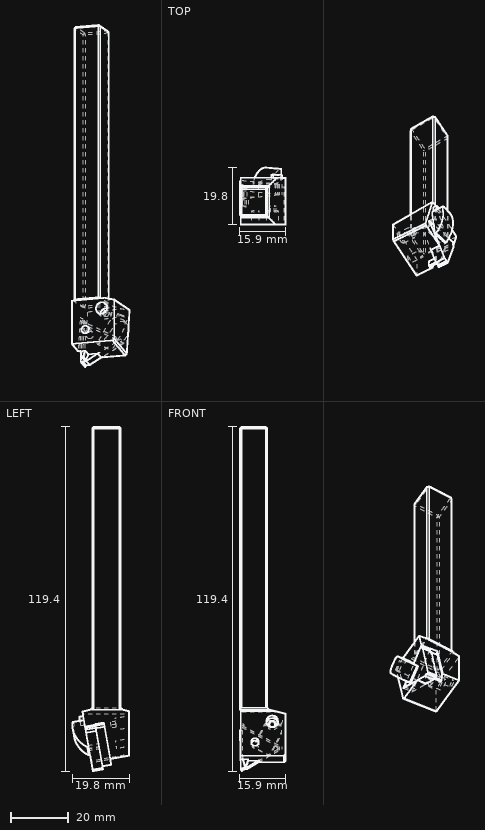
import cadquery as cq
import math


TOTAL_HEIGHT = 119.3
SHANK_X = 9.5
SHANK_Y = 10.0
SHANK_FRONT = 2.9
SHANK_CHAMFER = 0.6
FLARE_SIZE = 0.6
FLARE_ANGLE = 45

HEAD_LEFT = 0.3
HEAD_RIGHT = 15.9
HEAD_TOP = 21.3
ROOF_ANGLE = 14
ROOF_MARGIN = 0.6
FRONT_BOTTOM = 5.4
BOTTOM_CHAMFER = 0.6

TILT = 10
SEAT_Y = 14.0
SEAT_Z = 7.6

INSCRIBED_RADIUS = 4.8
INSERT_THICKNESS = 3.6
TIP_CUT = 1.2
TOOTH_WIDTH = 0.8
TOOTH_HEIGHT = 0.57
INSERT_TURN = 1.4
THIRDS = (0, 120, 240)

SHIM_THICKNESS = 3.1
SHIM_INSET = 0.5
SHIM_TOP_CUT = 1.5
SHIM_NOSE_START = -3.3
SHIM_NOSE_END = -6.7
SHIM_NOSE_LEFT = 1.7
SHIM_NOSE_RIGHT = 2.3
SHIM_NOSE_ROOT = 3.0

SCREW_X = 11.2
SCREW_RISE = 7.0
FINGER_ANGLE = 63
FINGER_RADIUS = 3.2
FINGER_LENGTH = 8.6
FINGER_REAR_HEIGHT = 3.7
FINGER_CREST = (2.4, 4.2)
FINGER_TOE_HEIGHT = 0.5
HEEL_LENGTH = 4.3
HEEL_WIDTH = 3.6
HEEL_HEIGHT = 1.4

CLAMP_HOLE_RADIUS = 2.0
SHIM_HOLE_RADIUS = 1.3
CLAMP_HOLE_DEPTH = 4.8
SOCKET_DIAMETER = 2.4
SOCKET_DEPTH = 1.8
SHIM_HOLE_X = 5.2
SHIM_HOLE_DEPTH = 4.8

SIN_TILT = math.sin(math.radians(TILT))
COS_TILT = math.cos(math.radians(TILT))
TAN_TILT = SIN_TILT / COS_TILT
TAN_ROOF = math.tan(math.radians(ROOF_ANGLE))

HALF_SIDE = INSCRIBED_RADIUS * math.sqrt(3)
TURN = math.radians(INSERT_TURN)
INSERT_X = INSCRIBED_RADIUS * math.cos(TURN) + (HALF_SIDE - 2 * TIP_CUT) * math.sin(TURN)
SHANK_BACK = SHANK_FRONT + SHANK_Y

SEAT = cq.Plane(
    origin=(INSERT_X, SEAT_Y, SEAT_Z),
    xDir=(1, 0, 0),
    normal=(0, -COS_TILT, SIN_TILT),
)


def turned(point, angle):
    """Rotate a local point about the insert centre."""
    c = math.cos(math.radians(angle))
    s = math.sin(math.radians(angle))
    return (point[0] * c - point[1] * s, point[0] * s + point[1] * c)


def make_shank():
    """Square bar with chamfered long edges and top."""
    foot = cq.Workplane("XY", origin=(SHANK_X / 2, SHANK_FRONT + SHANK_Y / 2, HEAD_TOP))
    shank = foot.rect(SHANK_X, SHANK_Y).extrude(TOTAL_HEIGHT - HEAD_TOP)
    return shank.edges("|Z or >Z").chamfer(SHANK_CHAMFER)


def make_head():
    """Side profile and front profile, extruded across each other and intersected."""
    roof_front = SHANK_FRONT - ROOF_MARGIN
    roof_back = SHANK_BACK + ROOF_MARGIN
    roof_right = SHANK_X + ROOF_MARGIN

    back_run = SEAT_Y + (HEAD_TOP - SEAT_Z) * TAN_TILT - roof_back
    back_run = back_run / (1 + TAN_ROOF * TAN_TILT)
    bottom_back_y = (SEAT_Y + (FRONT_BOTTOM - SEAT_Z) * TAN_TILT) * COS_TILT**2
    side = [
        (0, FRONT_BOTTOM),
        (0, HEAD_TOP - roof_front * TAN_ROOF),
        (roof_front, HEAD_TOP),
        (roof_back, HEAD_TOP),
        (roof_back + back_run, HEAD_TOP - back_run * TAN_ROOF),
        (bottom_back_y, FRONT_BOTTOM - bottom_back_y * TAN_TILT),
    ]
    front = [
        (HEAD_LEFT, 0),
        (HEAD_LEFT, HEAD_TOP),
        (roof_right, HEAD_TOP),
        (HEAD_RIGHT, HEAD_TOP - (HEAD_RIGHT - roof_right) * TAN_ROOF),
        (HEAD_RIGHT, 0),
    ]
    head = cq.Workplane("YZ").polyline(side).close().extrude(HEAD_RIGHT)
    head = head.faces("<Z").edges(">X").chamfer(BOTTOM_CHAMFER)
    across = cq.Workplane("XZ").polyline(front).close().extrude(-roof_back - back_run)
    return head.intersect(across)


def make_flare():
    """Sloping collar along the front, right and back of the shank where it meets the head."""
    foot = cq.Workplane("XY", origin=(SHANK_X / 2, SHANK_FRONT + SHANK_Y / 2, HEAD_TOP))
    foot = foot.rect(SHANK_X + 2 * FLARE_SIZE, SHANK_Y + 2 * FLARE_SIZE)
    flare = foot.extrude(FLARE_SIZE, taper=FLARE_ANGLE)
    over_head = cq.Workplane("XY", origin=(HEAD_LEFT, 0, HEAD_TOP))
    return flare.intersect(over_head.box(HEAD_RIGHT, HEAD_RIGHT, FLARE_SIZE, centered=False))


def make_triangle_cut(turn, start, depth):
    """Three-cornered recess between two depths below the back face."""
    corner = (-INSCRIBED_RADIUS, -HALF_SIDE)
    corners = [turned(corner, turn + third) for third in THIRDS]
    return cq.Workplane(SEAT).workplane(offset=start).polyline(corners).close().extrude(depth)


def make_insert():
    """Triangle whose corners are cut square to one side and carry a small tooth."""
    left = -INSCRIBED_RADIUS
    cut_level = TIP_CUT - HALF_SIDE
    corner_points = [
        (left, HALF_SIDE - 2 * TIP_CUT),
        (left, cut_level),
        (left + TOOTH_WIDTH / 2, cut_level - TOOTH_HEIGHT),
        (left + TOOTH_WIDTH, cut_level),
    ]
    outline = [turned(point, INSERT_TURN + third) for third in THIRDS for point in corner_points]
    return cq.Workplane(SEAT).polyline(outline).close().extrude(INSERT_THICKNESS)


def make_shim():
    """Fills the pocket under the insert, set in from the left, with a cut upper corner and a low nose."""
    left = HEAD_LEFT + SHIM_INSET - INSERT_X
    side_top = HALF_SIDE - SHIM_TOP_CUT
    bottom = (FRONT_BOTTOM - SEAT_Z) * COS_TILT - SEAT_Y * SIN_TILT
    cut_run = (SHIM_TOP_CUT - (left + INSCRIBED_RADIUS) / math.sqrt(3)) * math.sqrt(3) / 4
    outline = [
        (left, side_top),
        (left, SHIM_NOSE_START),
        (SHIM_NOSE_LEFT - INSERT_X, SHIM_NOSE_END),
        (SHIM_NOSE_RIGHT - INSERT_X, SHIM_NOSE_END),
        (SHIM_NOSE_ROOT - INSERT_X, bottom),
        ((bottom + HALF_SIDE) * math.sqrt(3) - INSCRIBED_RADIUS, bottom),
        (2 * INSCRIBED_RADIUS, 0),
        (left + cut_run, side_top + cut_run * math.sqrt(3)),
    ]
    shim = cq.Workplane(SEAT).workplane(offset=INSERT_THICKNESS).polyline(outline).close()
    return shim.extrude(SHIM_THICKNESS)


def make_clamp():
    """Finger from the clamp screw down to the insert, with a domed back and a small heel."""
    c = math.cos(math.radians(FINGER_ANGLE))
    s = math.sin(math.radians(FINGER_ANGLE))
    screw = SEAT.toWorldCoords((SCREW_X - INSERT_X, SCREW_RISE, 0))
    length_dir = cq.Vector(-c, -s * SIN_TILT, -s * COS_TILT)
    outward = cq.Vector(0, COS_TILT, -SIN_TILT)

    profile_plane = cq.Plane(origin=screw, xDir=length_dir, normal=length_dir.cross(outward))
    dome = (
        cq.Workplane(profile_plane)
        .moveTo(-FINGER_RADIUS, 0)
        .lineTo(-FINGER_RADIUS, FINGER_REAR_HEIGHT)
        .threePointArc(FINGER_CREST, (FINGER_LENGTH, FINGER_TOE_HEIGHT))
        .lineTo(FINGER_LENGTH, 0)
        .close()
        .extrude(FINGER_RADIUS, both=True)
    )
    plan_plane = cq.Plane(origin=screw, xDir=length_dir, normal=outward)
    plan = (
        cq.Workplane(plan_plane)
        .moveTo(0, -FINGER_RADIUS)
        .lineTo(FINGER_LENGTH, -FINGER_RADIUS)
        .lineTo(FINGER_LENGTH, FINGER_RADIUS)
        .lineTo(0, FINGER_RADIUS)
        .threePointArc((-FINGER_RADIUS, 0), (0, -FINGER_RADIUS))
        .close()
        .extrude(2 * FINGER_CREST[1])
    )
    heel = cq.Workplane(plan_plane).center(-HEEL_LENGTH / 2, 0).rect(HEEL_LENGTH, HEEL_WIDTH)
    heel = heel.extrude(HEEL_HEIGHT)
    return dome.intersect(plan).union(heel)


def hole_floor(x, rise, depth):
    """Workplane at the floor of a hole square to the back face, depth counted from the front face."""
    to_front = (SEAT_Y + rise * SIN_TILT) / COS_TILT
    return cq.Workplane(SEAT).workplane(offset=to_front - depth).center(x - INSERT_X, rise)


def make_clamp_hole():
    """Blind hole with the hexagon socket of the clamp screw in its floor."""
    floor = hole_floor(SCREW_X, SCREW_RISE, CLAMP_HOLE_DEPTH)
    hole = floor.circle(CLAMP_HOLE_RADIUS).extrude(2 * CLAMP_HOLE_DEPTH)
    socket = floor.polygon(6, SOCKET_DIAMETER).extrude(-SOCKET_DEPTH)
    return hole.union(socket)


def make_shim_hole():
    """Blind hole level with the insert centre."""
    floor = hole_floor(SHIM_HOLE_X, 0, SHIM_HOLE_DEPTH)
    return floor.circle(SHIM_HOLE_RADIUS).extrude(2 * SHIM_HOLE_DEPTH)


head = make_head().union(make_shank()).union(make_flare())
insert = make_insert()
holder = (
    head.cut(make_triangle_cut(INSERT_TURN, 0, INSERT_THICKNESS))
    .cut(make_triangle_cut(0, INSERT_THICKNESS, SHIM_THICKNESS))
    .union(make_shim())
    .cut(make_clamp_hole())
    .cut(make_shim_hole())
    .union(make_clamp())
)

result = cq.Compound.makeCompound([holder.val(), insert.val()])